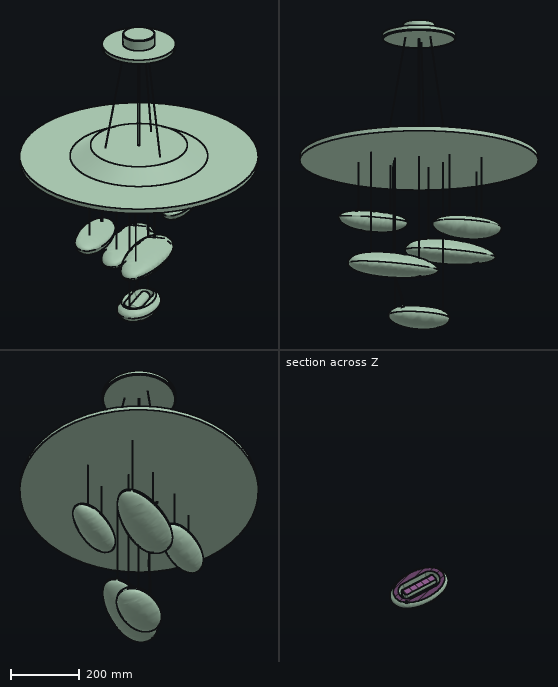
import cadquery as cq
import math


disc_radius = 350.0
rim_thickness = 15.0
cone_base_radius = 202.0
cone_top_radius = 142.0
disc_top = 50.0

plate_bottom = 367.0
plate_thickness = 15.0
plate_radius = 108.0
plate_chamfer = 3.0
box_radius = 47.0
box_height = 33.0
box_chamfer = 2.0

wire_radius = 0.7
cord_radius = 2.75
flex_radius = 2.0
suspension_count = 3
suspension_top_radius = 43.0
suspension_bottom_radius = 99.0
suspension_start_angle = 90.0
ferrule_radius = 3.5
ferrule_rise = 3.0

large_pebble = (280.0, 122.0, 41.0, 32.0, 0.18, 0.085, 150.0)
small_pebble = (214.0, 95.0, 26.0, 37.5, 0.0, 0.10, 100.0)

large_upper_place = (large_pebble, (70.0, -130.5), -252.5, 0.0, 0.0)
large_lower_place = (large_pebble, (-82.0, 105.5), -350.5, 0.0, -12.0)
small_upper_place = (small_pebble, (89.5, 105.5), -167.0, 0.0, 0.0)
small_lower_place = (small_pebble, (-93.0, -111.0), -208.5, 180.0, 0.0)
pebble_places = [large_upper_place, large_lower_place, small_upper_place, small_lower_place]

wire_offset_share = 0.02

holder_length = 187.0
holder_width = 117.0
holder_height = 69.0
overall_height = 922.5
holder_top_cut = 21.5
holder_wire_spacing = 150.0
slot_length = 136.0
slot_width = 60.0
slot_wall_angle = 20.0

lamp_radius = 15.0
lamp_length = 108.0
lamp_end_fillet = 5.0
lamp_top_clearance = 0.5

plate_top = plate_bottom + plate_thickness
canopy_top = plate_top + box_height
holder_center = canopy_top - overall_height + holder_height / 2
holder_top = holder_center + holder_top_cut
lamp_center = holder_top - lamp_top_clearance - lamp_radius
slot_floor = lamp_center - lamp_radius

flex_points = [
    (29, 65, 0),
    (3, 79, -39),
    (-2, 80, -115),
    (-2, 80, -270),
    (-4, 77, -360),
    (-28, 66, -424),
    (-31, 63, -450),
]
flex_ferrule_radius = 4.5
flex_ferrule_height = 14.0


def upright_cylinder(x, y, bottom, top, radius):
    return cq.Workplane("XY", origin=(x, y, bottom)).circle(radius).extrude(top - bottom)


def half_pebble(length, width, height, taper, slope):
    """Smooth half oval above the XY plane, or below it when the height is negative."""
    handle = width / 2 * 4 / 3
    tail = (0, -length / 2)
    nose = (0, length / 2)
    tail_handle = (handle * (1 - taper), -length / 2)
    nose_handle = (handle * (1 + taper), length / 2)
    profile = cq.Workplane("XY").moveTo(*tail).bezier([tail, tail_handle, nose_handle, nose]).close()
    turned = profile.revolve(180, (0, 0, 0), (0, -1, 0)).val()
    squash = height / (width / 2)
    matrix = cq.Matrix([
        [1, 0, 0, 0],
        [0, 1, 0, 0],
        [slope, 0, squash, 0],
    ])
    return cq.Workplane(turned.transformGeometry(matrix))


def make_oval(length, width, upper_height, lower_height, taper, slope):
    """Pebble along Y with its equator through the origin; the slope lifts the +X side."""
    upper = half_pebble(length, width, upper_height, taper, slope)
    lower = half_pebble(length, width, -lower_height, taper, slope)
    return upper.union(lower)


def surface_height(length, upper_height, taper, y):
    """Height of the ridge of an oval above its equator, at a distance y from its middle."""
    share = 0.5 + y / length
    t = 0.5 - math.sin(math.asin(1 - 2 * share) / 3)
    return upper_height * 4 * t * (1 - t) * (1 + taper * (2 * t - 1))


def make_disc():
    outline = [
        (0, 0),
        (disc_radius, 0),
        (disc_radius, rim_thickness),
        (cone_base_radius, rim_thickness),
        (cone_top_radius, disc_top),
        (0, disc_top),
    ]
    return cq.Workplane("XZ").polyline(outline).close().revolve(360, (0, 0, 0), (0, 1, 0))


def make_suspension_wire(angle):
    """Straight wire that leans outward from the plate down to the top of the disc."""
    direction = cq.Vector(math.cos(angle), math.sin(angle), 0)
    up = cq.Vector(0, 0, 1)
    low_end = direction * suspension_bottom_radius + up * disc_top
    high_end = direction * suspension_top_radius + up * plate_bottom
    ends = [cq.Wire.makeCircle(wire_radius, point, up) for point in (low_end, high_end)]
    return cq.Workplane(cq.Solid.makeLoft(ends, True))


def make_canopy():
    """Box, plate and the three suspension wires fixed to the plate."""
    plate = upright_cylinder(0, 0, plate_bottom, plate_top, plate_radius)
    plate = plate.faces("<Z").chamfer(plate_chamfer)
    box = upright_cylinder(0, 0, plate_top, canopy_top, box_radius)
    canopy = plate.union(box.faces(">Z").chamfer(box_chamfer))
    for index in range(suspension_count):
        angle = math.radians(suspension_start_angle + index * 360 / suspension_count)
        canopy = canopy.union(make_suspension_wire(angle))
    return canopy


def make_power_cord():
    return upright_cylinder(0, 0, disc_top, plate_bottom, cord_radius)


def make_hung_pebble(size, wire_middle, equator, turn, wire_top):
    """Plain pebble with its two wires and the ferrule round the +Y wire."""
    length, width, upper_height, lower_height, taper, slope, wire_spacing = size
    facing = math.cos(math.radians(turn))
    x, y = wire_middle
    middle_y = y + facing * wire_offset_share * length
    pebble = make_oval(length, width, upper_height, lower_height, taper, slope)
    pebble = pebble.rotate((0, 0, 0), (0, 0, 1), turn).translate((x, middle_y, equator))

    ferrule_y = y + wire_spacing / 2
    ferrule_reach = facing * (ferrule_y - middle_y)
    surface = equator + surface_height(length, upper_height, taper, ferrule_reach)
    ferrule = upright_cylinder(x, ferrule_y, equator, surface + ferrule_rise, ferrule_radius)
    pebble = pebble.union(ferrule)
    for side in (-1, 1):
        wire_y = y + side * wire_spacing / 2
        pebble = pebble.union(upright_cylinder(x, wire_y, equator, wire_top, wire_radius))
    return pebble


def make_flex_cord():
    """Curved cord ending in a ferrule that sits in the lamp pebble."""
    path = cq.Workplane("XY").spline([cq.Vector(*point) for point in flex_points])
    start_plane = cq.Plane(origin=flex_points[0], normal=(0, 0, 1))
    cord = cq.Workplane(start_plane).circle(flex_radius).sweep(path)
    x, y, z = flex_points[-1]
    ferrule = upright_cylinder(x, y, z - flex_ferrule_height, z, flex_ferrule_radius)
    return cord.union(ferrule)


def make_lamp_pebble(flex_cord):
    """Flat-topped pebble with a lamp slot, a seat for the flexible cord and two wires."""
    half_height = holder_height / 2
    pebble = make_oval(holder_length, holder_width, half_height, half_height, 0, 0)
    pebble = pebble.translate((0, 0, holder_center))
    removed_top = cq.Workplane("XY", origin=(0, 0, holder_top)).rect(holder_width, slot_length * 2)
    pebble = pebble.cut(removed_top.extrude(holder_height))
    slot = cq.Workplane("XY", origin=(0, 0, holder_top)).slot2D(slot_length, slot_width, 90)
    pebble = pebble.cut(slot.extrude(slot_floor - holder_top, taper=slot_wall_angle))
    pebble = pebble.cut(flex_cord)
    for side in (-1, 1):
        wire_y = side * holder_wire_spacing / 2
        pebble = pebble.union(upright_cylinder(0, wire_y, holder_center, 0, wire_radius))
    return pebble


def make_lamp():
    """Tube along Y that lies on the slot floor."""
    tube = cq.Workplane("XZ", origin=(0, -lamp_length / 2, lamp_center))
    tube = tube.circle(lamp_radius).extrude(-lamp_length)
    return tube.edges("%CIRCLE").fillet(lamp_end_fillet)


disc = make_disc()
canopy = make_canopy()
power_cord = make_power_cord()
hung_pebbles = [make_hung_pebble(*place) for place in pebble_places]
flex_cord = make_flex_cord()
lamp_pebble = make_lamp_pebble(flex_cord)
lamp = make_lamp()

bodies = [disc, canopy, power_cord, *hung_pebbles, flex_cord, lamp_pebble, lamp]
result = cq.Compound.makeCompound([body.solids().val() for body in bodies])